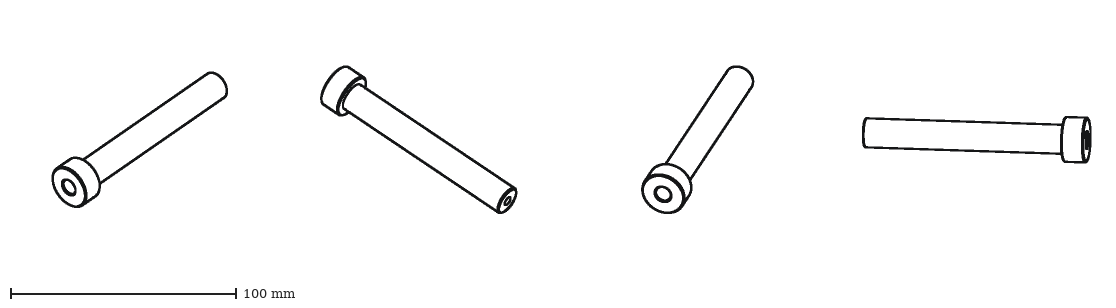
import cadquery as cq
import math

total_length = 100.0
head_diameter = 20.0
head_length = 10.0
shank_diameter = 13.0
bore_diameter = 4.2
counterbore_diameter = 7.0
counterbore_depth = 15.0
drill_tip_angle = 118.0
mouth_chamfer = 0.5
edge_chamfer = 0.5


def cylinder_along_y(diameter, start, length):
    """Cylinder centred on the Y axis, running from start towards +Y."""
    base = cq.Workplane("XZ", origin=(0, start, 0))
    return base.circle(diameter / 2).extrude(-length)


head = cylinder_along_y(head_diameter, 0, head_length).edges().chamfer(edge_chamfer)
shank = cylinder_along_y(shank_diameter, 0, total_length).faces(">Y").edges().chamfer(edge_chamfer)
body = head.union(shank)

bore = cylinder_along_y(bore_diameter, 0, total_length)
counterbore_radius = counterbore_diameter / 2
tip_length = counterbore_radius / math.tan(math.radians(drill_tip_angle / 2))
counterbore = (
    cq.Workplane("XY")
    .lineTo(counterbore_radius, 0)
    .lineTo(counterbore_radius, counterbore_depth)
    .lineTo(0, counterbore_depth + tip_length)
    .close()
    .revolve(360, (0, 0, 0), (0, 1, 0))
)
result = body.cut(bore).cut(counterbore)

mouth = cq.selectors.RadiusNthSelector(0)
result = result.faces("<Y").edges(mouth).chamfer(mouth_chamfer)